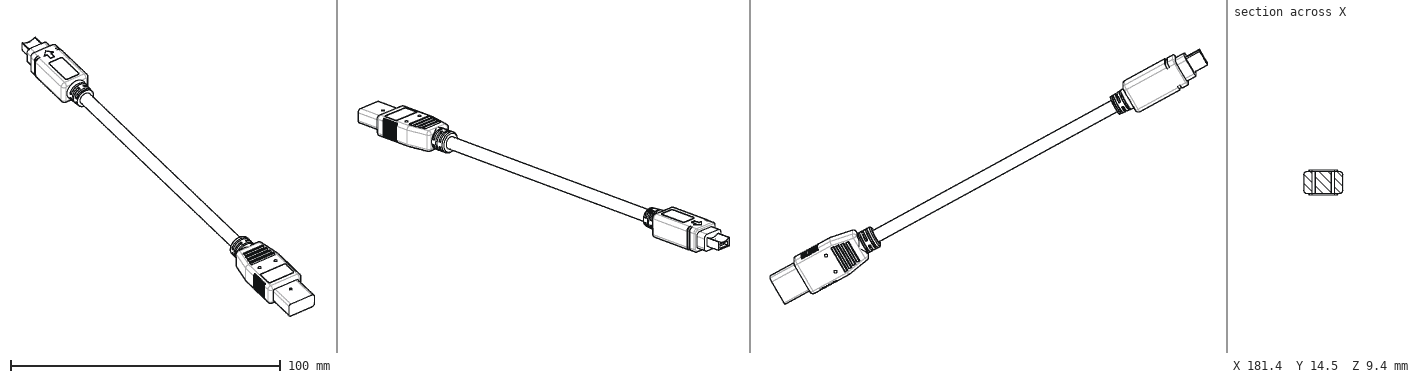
import cadquery as cq

TOTAL_LENGTH = 181.4
CABLE_DIAMETER = 4.8
THICKNESS = 9.4

SMALL_TIP_X = -TOTAL_LENGTH / 2
NOSE_FRONT_X = -85.0
LIP_FRONT_X = -81.2
GROOVE_START_X = -78.4
GROOVE_END_X = -77.4
SMALL_REAR_X = -59.1
SMALL_BOOT_END_X = -53.0

PLUG_HALF_WIDTH = 3.0
PLUG_TOP_Z = 1.95
TROUGH_BOTTOM_Z = 1.1
PLUG_BOTTOM_Z = -1.45
SHOULDER_WIDTH = 0.3
SOCKET_WIDTH = 3.9
SOCKET_BOTTOM_Z = -0.85
SOCKET_TOP_Z = 0.75
SOCKET_DEPTH = 4.5
TONGUE_WIDTH = 3.3
TONGUE_SETBACK = 1.0
TONGUE_BOTTOM_Z = -0.5
TONGUE_TOP_Z = 0.3

NOSE_WIDTH = 9.0
NOSE_THICKNESS = 6.8
SMALL_WIDTH = 11.7
LIP_WIDTH = 11.3
GROOVE_WIDTH = 10.7
SMALL_CORNER = 1.5
LIP_FRONT_FILLET = 0.5
SMALL_REAR_FILLET = 1.25

PANEL_DEPTH = 0.2
WINDOW_START_X = -73.0
WINDOW_END_X = -61.4
WINDOW_WIDTH = 6.0
WINDOW_CORNER = 0.6
ARROW_TIP_X = -79.4
ARROW_BARB_X = -77.2
ARROW_TAIL_X = -74.9
ARROW_HALF_WIDTH = 2.1
ARROW_SHAFT_HALF_WIDTH = 0.85

LARGE_BOOT_END_X = 48.8
LARGE_REAR_X = 54.6
TAPER_END_X = 64.2
LARGE_FRONT_X = 80.2
SHELL_TIP_X = TOTAL_LENGTH / 2

LARGE_WIDTH = 14.5
LARGE_REAR_WIDTH = 10.9
LARGE_THICKNESS = 8.3
LARGE_FILLET = 1.3

GRIP_RIB_COUNT = 4
GRIP_RIB_FIRST_X = 58.7
GRIP_RIB_PITCH = 1.9
GRIP_RIB_BASE = 1.3
GRIP_RIB_CREST = 0.7
GRIP_RIB_EDGE_GAP = 2.0

SIDE_GROOVE_COUNT = 8
SIDE_GROOVE_START_X = 69.5
SIDE_GROOVE_END_X = 76.5
SIDE_GROOVE_DEPTH = 0.5

PIN_HOLE_X = 68.0
PIN_HOLE_SPACING = 7.1
PIN_HOLE_DIAMETER = 1.1
LABEL_START_X = 71.3
LABEL_END_X = 77.3
LABEL_WIDTH = 11.2
LABEL_CORNER = 0.6

SHELL_WIDTH = 11.4
SHELL_THICKNESS = 5.8
SHELL_LARGE_CORNER = 1.3
SHELL_SMALL_CORNER = 0.8
DIMPLE_X = 83.4
DIMPLE_DIAMETER = 1.0
DIMPLE_DEPTH = 0.4

BOOT_BASE_RADIUS = 4.15
SMALL_BOOT_END_RADIUS = 3.65
LARGE_BOOT_CHAMFER = 0.5
BOOT_CORE_RADIUS = 2.8
BOOT_WEB = 2.0
SLOT_WIDTH = 0.7
SLOT_CLEARANCE = 1.0
SMALL_SLOT_CENTRES = (-57.2, -55.6, -54.0)
LARGE_SLOT_CENTRES = (50.6, 52.2, 53.8)


def block(x_start, x_end, width, z_bottom, z_top):
    """Box between two X stations, centred on Y."""
    size = (x_end - x_start, width, z_top - z_bottom)
    return cq.Workplane("XY").box(*size, centered=(False, True, False)).translate((x_start, 0, z_bottom))


def rounded_bar(x_start, x_end, width, thickness, corner):
    """Bar along X, centred on the axis, with its four long edges rounded."""
    return block(x_start, x_end, width, -thickness / 2, thickness / 2).edges("|X").fillet(corner)


def cylinder_along_x(x_start, x_end, radius):
    return cq.Workplane("YZ", origin=(x_start, 0, 0)).circle(radius).extrude(x_end - x_start)


def flex_slot(x_centre, opens_sideways):
    """Pair of opposite ring slots: above and below the core, or on both sides of it."""
    x_start = x_centre - SLOT_WIDTH / 2
    x_end = x_centre + SLOT_WIDTH / 2
    outside = 2 * BOOT_BASE_RADIUS + SLOT_CLEARANCE
    ring = cylinder_along_x(x_start, x_end, outside / 2)
    ring = ring.cut(cylinder_along_x(x_start, x_end, BOOT_CORE_RADIUS))
    if opens_sideways:
        web = block(x_start, x_end, BOOT_WEB, -outside / 2, outside / 2)
    else:
        web = block(x_start, x_end, outside, -BOOT_WEB / 2, BOOT_WEB / 2)
    return ring.cut(web)


def cut_flex_slots(boot, centres):
    """Neighbouring slots alternate between top-and-bottom and sideways."""
    for index, x_centre in enumerate(centres):
        boot = boot.cut(flex_slot(x_centre, opens_sideways=index % 2 == 1))
    return boot


def small_plug():
    """Contact plug with a hollow along its top and a socket with a tongue in its open end."""
    trough_half_width = PLUG_HALF_WIDTH - SHOULDER_WIDTH
    plug = (
        cq.Workplane("YZ", origin=(SMALL_TIP_X, 0, 0))
        .moveTo(-PLUG_HALF_WIDTH, PLUG_BOTTOM_Z)
        .lineTo(PLUG_HALF_WIDTH, PLUG_BOTTOM_Z)
        .lineTo(PLUG_HALF_WIDTH, PLUG_TOP_Z)
        .lineTo(trough_half_width, PLUG_TOP_Z)
        .threePointArc((0, TROUGH_BOTTOM_Z), (-trough_half_width, PLUG_TOP_Z))
        .lineTo(-PLUG_HALF_WIDTH, PLUG_TOP_Z)
        .close()
        .extrude(NOSE_FRONT_X - SMALL_TIP_X)
    )
    socket_end_x = SMALL_TIP_X + SOCKET_DEPTH
    socket = block(SMALL_TIP_X, socket_end_x, SOCKET_WIDTH, SOCKET_BOTTOM_Z, SOCKET_TOP_Z)
    tongue = block(SMALL_TIP_X + TONGUE_SETBACK, socket_end_x, TONGUE_WIDTH, TONGUE_BOTTOM_Z, TONGUE_TOP_Z)
    return plug.cut(socket.cut(tongue))


def small_boot():
    boot = (
        cq.Workplane("XY")
        .moveTo(GROOVE_END_X, 0)
        .lineTo(GROOVE_END_X, BOOT_BASE_RADIUS)
        .lineTo(SMALL_REAR_X, BOOT_BASE_RADIUS)
        .lineTo(SMALL_BOOT_END_X, SMALL_BOOT_END_RADIUS)
        .lineTo(SMALL_BOOT_END_X, 0)
        .close()
        .revolve(360, (0, 0, 0), (1, 0, 0))
    )
    return cut_flex_slots(boot, SMALL_SLOT_CENTRES)


def arrow_recess():
    """Arrow pointing to the plug tip."""
    upper_half = [
        (ARROW_BARB_X, ARROW_HALF_WIDTH),
        (ARROW_BARB_X, ARROW_SHAFT_HALF_WIDTH),
        (ARROW_TAIL_X, ARROW_SHAFT_HALF_WIDTH),
    ]
    lower_half = [(x, -y) for x, y in reversed(upper_half)]
    outline = [(ARROW_TIP_X, 0)] + upper_half + lower_half
    floor = cq.Workplane("XY", origin=(0, 0, THICKNESS / 2 - PANEL_DEPTH))
    return floor.polyline(outline).close().extrude(PANEL_DEPTH)


def window_recess():
    top = THICKNESS / 2
    window = block(WINDOW_START_X, WINDOW_END_X, WINDOW_WIDTH, top - PANEL_DEPTH, top)
    return window.edges("|Z").fillet(WINDOW_CORNER)


def small_housing():
    nose = rounded_bar(NOSE_FRONT_X, LIP_FRONT_X, NOSE_WIDTH, NOSE_THICKNESS, SMALL_CORNER)
    lip = rounded_bar(LIP_FRONT_X, GROOVE_START_X, LIP_WIDTH, THICKNESS, SMALL_CORNER)
    lip = lip.faces("<X").edges().fillet(LIP_FRONT_FILLET)
    neck = rounded_bar(GROOVE_START_X, GROOVE_END_X, GROOVE_WIDTH, THICKNESS, SMALL_CORNER)
    grip = rounded_bar(GROOVE_END_X, SMALL_REAR_X, SMALL_WIDTH, THICKNESS, SMALL_CORNER)
    grip = grip.faces(">X").edges().fillet(SMALL_REAR_FILLET)
    housing = nose.union(lip).union(neck).union(grip).union(small_boot())
    return housing.cut(window_recess()).cut(arrow_recess())


def cable():
    return cylinder_along_x(SMALL_BOOT_END_X, LARGE_BOOT_END_X, CABLE_DIAMETER / 2)


def large_boot():
    boot = cylinder_along_x(LARGE_BOOT_END_X, TAPER_END_X, LARGE_THICKNESS / 2)
    boot = boot.faces("<X").edges().chamfer(LARGE_BOOT_CHAMFER)
    return cut_flex_slots(boot, LARGE_SLOT_CENTRES)


def large_half_width(x):
    """Half width of the large housing, which widens from its rear end to the end of the taper."""
    share = min((x - LARGE_REAR_X) / (TAPER_END_X - LARGE_REAR_X), 1)
    return (LARGE_REAR_WIDTH + share * (LARGE_WIDTH - LARGE_REAR_WIDTH)) / 2


def large_body():
    """Tapered block, rounded on all edges except the upright creases where the taper ends."""
    upper_half = [(x, large_half_width(x)) for x in (LARGE_REAR_X, TAPER_END_X, LARGE_FRONT_X)]
    lower_half = [(x, -y) for x, y in reversed(upper_half)]
    body = (
        cq.Workplane("XY", origin=(0, 0, -LARGE_THICKNESS / 2))
        .polyline(upper_half + lower_half)
        .close()
        .extrude(LARGE_THICKNESS)
    )
    return body.edges("<X or >X or #Z").fillet(LARGE_FILLET)


def grip_rib(x_centre):
    """Rib across Y with sloped flanks that stands out of the top and the bottom face."""
    half_length = large_half_width(x_centre) - GRIP_RIB_EDGE_GAP
    face_z = LARGE_THICKNESS / 2
    crest_z = THICKNESS / 2
    upper_half = [
        (-GRIP_RIB_BASE / 2, face_z),
        (-GRIP_RIB_CREST / 2, crest_z),
        (GRIP_RIB_CREST / 2, crest_z),
        (GRIP_RIB_BASE / 2, face_z),
    ]
    lower_half = [(x, -z) for x, z in reversed(upper_half)]
    return (
        cq.Workplane("XZ", origin=(x_centre, half_length, 0))
        .polyline(upper_half + lower_half)
        .close()
        .extrude(2 * half_length)
    )


def side_grooves():
    """Rows of upright grip grooves in both sides; grooves and lands are equally wide."""
    spaces = 2 * SIDE_GROOVE_COUNT - 1
    groove_width = (SIDE_GROOVE_END_X - SIDE_GROOVE_START_X) / spaces
    centres = [
        (SIDE_GROOVE_START_X + (2 * index + 0.5) * groove_width, side * LARGE_WIDTH / 2)
        for index in range(SIDE_GROOVE_COUNT)
        for side in (-1, 1)
    ]
    return (
        cq.Workplane("XY")
        .pushPoints(centres)
        .box(groove_width, 2 * SIDE_GROOVE_DEPTH, LARGE_THICKNESS)
    )


def pin_holes():
    return (
        cq.Workplane("XY", origin=(PIN_HOLE_X, 0, -LARGE_THICKNESS / 2))
        .pushPoints([(0, -PIN_HOLE_SPACING / 2), (0, PIN_HOLE_SPACING / 2)])
        .circle(PIN_HOLE_DIAMETER / 2)
        .extrude(LARGE_THICKNESS)
    )


def label_recess():
    top = LARGE_THICKNESS / 2
    label = block(LABEL_START_X, LABEL_END_X, LABEL_WIDTH, top - PANEL_DEPTH, top)
    return label.edges("|Z and >X").fillet(LABEL_CORNER)


def large_housing():
    housing = large_body().union(large_boot())
    for index in range(GRIP_RIB_COUNT):
        housing = housing.union(grip_rib(GRIP_RIB_FIRST_X + index * GRIP_RIB_PITCH))
    return housing.cut(side_grooves()).cut(pin_holes()).cut(label_recess())


def large_shell():
    """Plug shell with larger corners on its +Y side and a dimple on top."""
    top = SHELL_THICKNESS / 2
    shell = block(LARGE_FRONT_X, SHELL_TIP_X, SHELL_WIDTH, -top, top)
    shell = shell.edges("|X and >Y").fillet(SHELL_LARGE_CORNER)
    shell = shell.edges("|X and <Y").fillet(SHELL_SMALL_CORNER)
    dimple = (
        cq.Workplane("XY", origin=(DIMPLE_X, 0, top - DIMPLE_DEPTH))
        .circle(DIMPLE_DIAMETER / 2)
        .extrude(DIMPLE_DEPTH)
    )
    return shell.cut(dimple)


result = cq.Compound.makeCompound([
    small_plug().val(),
    small_housing().val(),
    cable().val(),
    large_housing().val(),
    large_shell().val(),
])